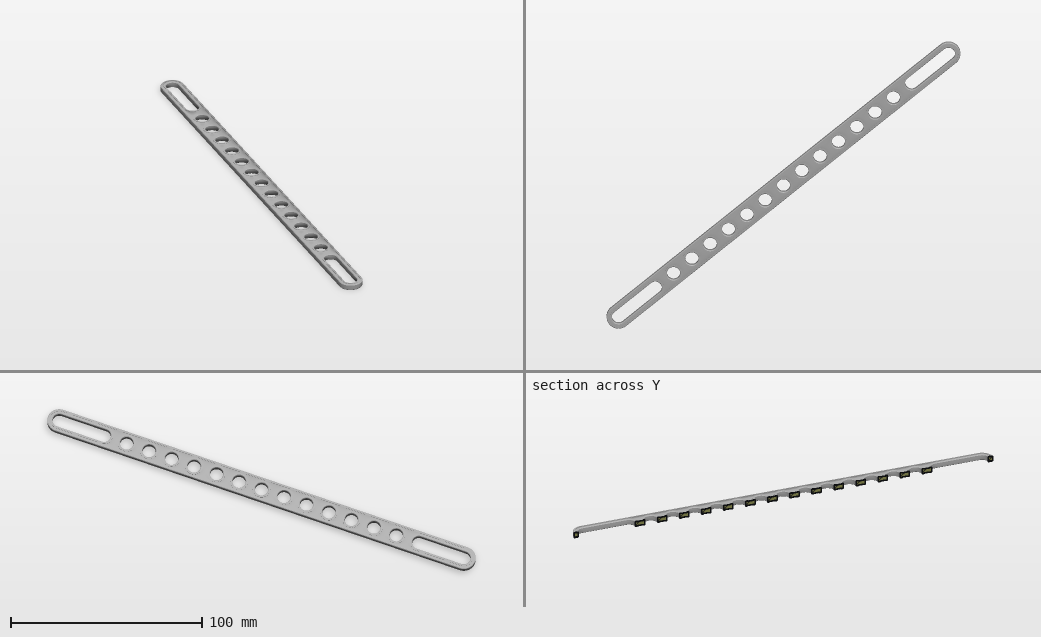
import cadquery as cq

pitch = 12.5
pitch_count = 19
thickness = pitch / 4
hole_diameter = 7.0
collar_diameter = 9.2
rim_width = 1.1
pocket_depth = 0.2
edge_chamfer = 0.3
slot_pitches = 2

length = pitch_count * pitch
slot_travel = slot_pitches * pitch
slot_center_x = (length - pitch - slot_travel) / 2
hole_count = pitch_count - 2 * (slot_pitches + 1)
bottom_z = -thickness / 2
pocket_floors = (bottom_z, thickness / 2 - pocket_depth)


def bar_prism(inset, base_z, height):
    """Round-ended bar shape, drawn in from the outline by the inset."""
    plane = cq.Workplane("XY").workplane(offset=base_z)
    return plane.slot2D(length - 2 * inset, pitch - 2 * inset).extrude(height)


def opening_prisms(width, base_z, height):
    """Cylinders of the hole row and the slot shape at each end, all of the given width."""
    plane = cq.Workplane("XY").workplane(offset=base_z)
    holes = plane.rarray(pitch, pitch, hole_count, 1).circle(width / 2).extrude(height)
    slot_places = [(-slot_center_x, 0), (slot_center_x, 0)]
    slots = plane.pushPoints(slot_places).slot2D(slot_travel + width, width).extrude(height)
    return holes.union(slots)


def make_blank():
    """Bar with its holes and slots, every rim on both faces chamfered."""
    blank = bar_prism(0, bottom_z, thickness)
    blank = blank.cut(opening_prisms(hole_diameter, bottom_z, thickness))
    return blank.faces("|Z").edges().chamfer(edge_chamfer)


def cut_pockets(blank):
    """Recess both faces between the outer rim and the collars."""
    for floor_z in pocket_floors:
        pocket = bar_prism(rim_width, floor_z, pocket_depth)
        pocket = pocket.cut(opening_prisms(collar_diameter, floor_z, pocket_depth))
        blank = blank.cut(pocket)
    return blank


result = cut_pockets(make_blank())